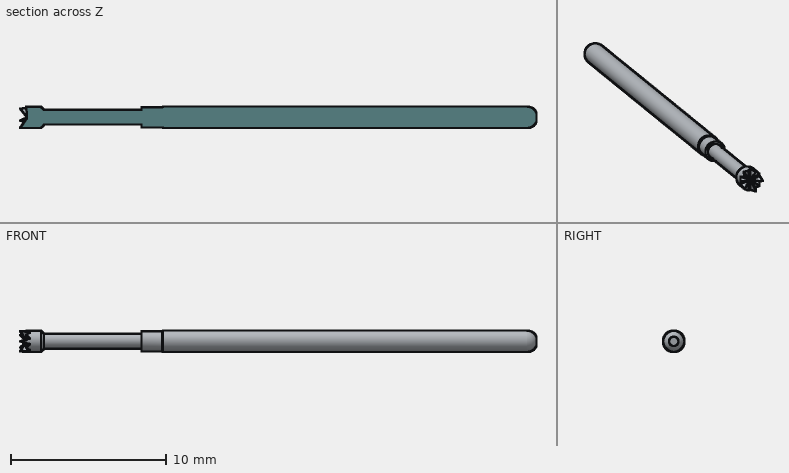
import cadquery as cq
import math

total_length = 33.28
barrel_radius = 0.7

head_radius = 0.69
head_length = 1.35
head_cone_end_radius = 0.52
stem_start = 1.54
stem_radius = 0.49

tooth_count = 5
valley_depth = 0.62
valley_offset = 0.21
ridge_depth = 0.4
centre_depth = 0.45
notch_overrun = 1.5

collar_start = 7.83
collar_end = 9.15
collar_radius = 0.66
barrel_start = 9.23

dome_start = 32.68
dome_tip_radius = 0.3


def revolved_body():
    """Turn the plunger, collar and barrel in one profile about the X axis."""
    return (
        cq.Workplane("XY")
        .moveTo(0, 0)
        .lineTo(0, head_radius)
        .lineTo(head_length, head_radius)
        .lineTo(stem_start, head_cone_end_radius)
        .lineTo(stem_start, stem_radius)
        .lineTo(collar_start, stem_radius)
        .lineTo(collar_start, collar_radius)
        .lineTo(collar_end, collar_radius)
        .lineTo(barrel_start, barrel_radius)
        .lineTo(dome_start, barrel_radius)
        .tangentArcPoint((total_length, dome_tip_radius), relative=False)
        .lineTo(total_length, 0)
        .close()
        .revolve(360, (0, 0, 0), (1, 0, 0))
    )


def flat_face(*points):
    """Planar face through the given corner points."""
    return cq.Face.makeFromWires(cq.Wire.makePolygon([*points, points[0]]))


def crown_notch(angle):
    """W notch in one tooth sector, closing in on the axis; angle 0 points along +Y."""
    sector_half_angle = math.pi / tooth_count
    chord_distance = head_radius * math.cos(sector_half_angle)
    tip_offset = head_radius * math.sin(sector_half_angle)
    chord_profile = [
        (0, -tip_offset),
        (valley_depth, -valley_offset),
        (ridge_depth, 0),
        (valley_depth, valley_offset),
        (0, tip_offset),
    ]
    floor = [
        cq.Vector(
            centre_depth + (depth - centre_depth) * notch_overrun,
            chord_distance * notch_overrun,
            offset * notch_overrun,
        )
        for depth, offset in chord_profile
    ]
    centre = cq.Vector(centre_depth, 0, 0)
    top_x = -head_length
    top_centre = cq.Vector(top_x, 0, 0)
    top_left = cq.Vector(top_x, floor[0].y, floor[0].z)
    top_right = cq.Vector(top_x, floor[-1].y, floor[-1].z)

    faces = [flat_face(centre, start, end) for start, end in zip(floor, floor[1:])]
    faces.append(flat_face(centre, top_centre, top_left, floor[0]))
    faces.append(flat_face(centre, floor[-1], top_right, top_centre))
    faces.append(flat_face(top_centre, top_right, top_left))
    faces.append(flat_face(*floor, top_right, top_left))
    notch = cq.Solid.makeSolid(cq.Shell.makeShell(faces))
    return cq.Workplane(notch.rotate(cq.Vector(0, 0, 0), cq.Vector(1, 0, 0), angle))


result = revolved_body()
for index in range(tooth_count):
    result = result.cut(crown_notch(index * 360 / tooth_count))